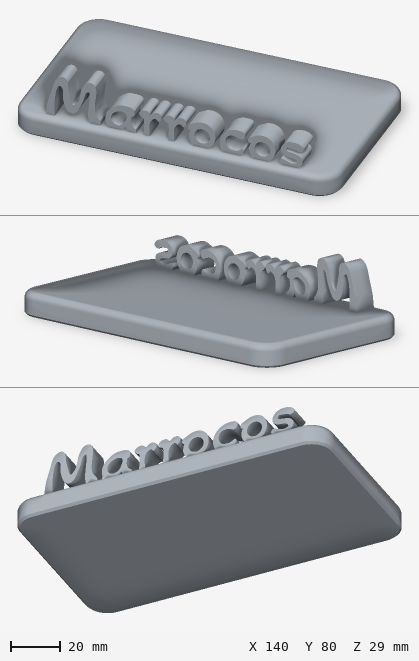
import cadquery as cq

plate_length = 140.0
plate_width = 80.0
plate_height = 10.0
corner_radius = 10.0
top_fillet = 3.0
bottom_chamfer = 1.0

letter_depth = 10.1
letter_front_y = top_fillet - plate_width / 2
foot = -1.3

m_left = -55.7
a_left = -30.0
r_lefts = (-15.4, -4.8)
o_centers = (12.0, 38.1)
c_left = 19.5
s_left = 45.4

o_hole_height = 5.3
o_hole_radius = 3.4


def make_plate():
    plate = cq.Workplane("XY").box(plate_length, plate_width, plate_height, centered=(True, True, False))
    plate = plate.edges("|Z").fillet(corner_radius)
    plate = plate.faces(">Z").edges().fillet(top_fillet)
    return plate.faces("<Z").edges().chamfer(bottom_chamfer)


def letter_plane(x):
    """Upright plane at the back of the letters, with its origin on the plate's top face."""
    return cq.Workplane("XZ", origin=(x, letter_front_y + letter_depth, plate_height))


def make_letter(left, start, stretches):
    """Extrude a closed outline; a one-point stretch is a straight line, a longer one a smooth curve."""
    outline = letter_plane(left).moveTo(*start)
    for stretch in stretches:
        if len(stretch) == 1:
            outline = outline.lineTo(*stretch[0])
        else:
            outline = outline.spline(stretch, includeCurrent=True)
    return outline.close().extrude(letter_depth)


def make_m():
    return make_letter(m_left, (-0.1, foot), [
        [(1.0, 6.9), (3.0, 13.5), (4.5, 17.4), (7.1, 19.0), (9.5, 17.2)],
        [(10.0, 12.9), (10.8, 9.2), (11.9, 6.9), (13.2, 7.8), (14.7, 11.9), (16.4, 16.8)],
        [(17.4, 18.3), (19.5, 19.0), (21.4, 17.6)],
        [(21.3, 9.8), (21.4, 5.6), (22.3, 3.6), (23.5, 2.1)],
        [(23.5, foot)],
        [(19.3, foot)],
        [(18.3, 6.0), (18.8, 9.8), (18.8, 14.4)],
        [(17.9, 14.3), (16.5, 11.2), (14.4, 5.9), (12.9, 3.5), (11.0, 2.8), (9.4, 3.6), (8.1, 5.9),
         (7.3, 11.2), (6.7, 14.1), (5.9, 14.5), (5.0, 13.6), (4.0, 9.8), (3.8, 7.0)],
        [(3.8, foot)],
    ])


def make_a():
    body = make_letter(a_left, (2.1, foot), [
        [(0.3, 1.8), (0.0, 4.9), (1.1, 7.8), (3.6, 10.2), (6.0, 11.5), (8.5, 11.8), (11.5, 11.3), (12.6, 10.2)],
        [(12.6, 8.1)],
        [(11.3, 7.3)],
        [(11.0, 4.8), (11.6, 3.0), (13.2, 1.8)],
        [(13.3, foot)],
        [(10.2, foot)],
        [(8.5, 2.1)],
        [(6.3, foot)],
    ])
    bowl_points = [(2.4, 4.8), (3.5, 7.3), (5.3, 8.4), (7.7, 8.7), (9.0, 7.8), (8.7, 4.9),
                   (7.5, 3.0), (5.5, 2.0), (3.4, 2.7)]
    bowl = letter_plane(a_left).spline(bowl_points, periodic=True).close().extrude(letter_depth)
    return body.cut(bowl)


def make_r(left):
    return make_letter(left, (1.5, foot), [
        [(2.2, 3.5), (2.1, 7.8)],
        [(0.8, 8.5), (0.0, 9.8), (0.8, 11.0), (2.7, 11.8), (4.0, 11.3), (4.6, 9.5)],
        [(5.9, 11.0), (8.0, 11.8), (9.7, 10.8), (9.7, 9.1), (8.3, 7.7)],
        [(7.0, 8.7), (5.6, 7.8), (4.8, 6.3), (4.5, 3.4), (4.5, foot)],
    ])


def make_o(center):
    body = make_letter(center, (-2.8, foot), [
        [(-4.3, 0.4), (-5.6, 2.8), (-5.7, 4.9), (-5.2, 7.0)],
        [(-6.2, 7.7), (-5.9, 9.4), (-4.8, 10.1), (-2.7, 11.2), (0.0, 11.8), (3.2, 10.8), (5.3, 7.8), (5.6, 5.3),
         (4.5, 2.1), (2.7, 0.1), (1.1, foot)],
    ])
    hole = letter_plane(center).center(0, o_hole_height).circle(o_hole_radius).extrude(letter_depth)
    return body.cut(hole)


def make_c():
    return make_letter(c_left, (2.2, foot), [
        [(0.5, 1.8), (0.1, 4.8), (1.1, 7.8), (3.2, 10.2), (5.7, 11.5), (8.4, 11.8), (10.6, 11.0), (10.9, 9.2),
         (9.1, 7.7)],
        [(7.7, 8.4), (5.2, 8.7), (3.2, 7.5), (2.7, 5.0), (3.6, 2.8), (5.6, 2.0), (7.7, 2.1), (9.8, 3.4)],
        [(10.5, 2.5), (10.0, 0.8), (8.1, foot)],
    ])


def make_s():
    return make_letter(s_left, (2.0, foot), [
        [(0.8, 0.3), (0.0, 1.7)],
        [(0.7, 3.0)],
        [(2.2, 2.8)],
        [(4.2, 2.0), (6.9, 2.0), (7.8, 2.8), (7.0, 3.8), (4.5, 4.3), (1.8, 5.2), (0.8, 6.5), (1.3, 9.2),
         (3.1, 11.0), (6.3, 11.8), (9.0, 11.2), (10.5, 9.7), (8.5, 7.7)],
        [(7.1, 8.4), (5.0, 8.7), (3.4, 8.5), (3.1, 7.5), (5.0, 6.7), (8.4, 6.0), (10.0, 4.6), (9.8, 2.1),
         (8.5, 0.1), (6.7, foot)],
    ])


letters = [make_m(), make_a(), make_c(), make_s()]
letters += [make_r(left) for left in r_lefts]
letters += [make_o(center) for center in o_centers]

result = make_plate()
for letter in letters:
    result = result.union(letter)